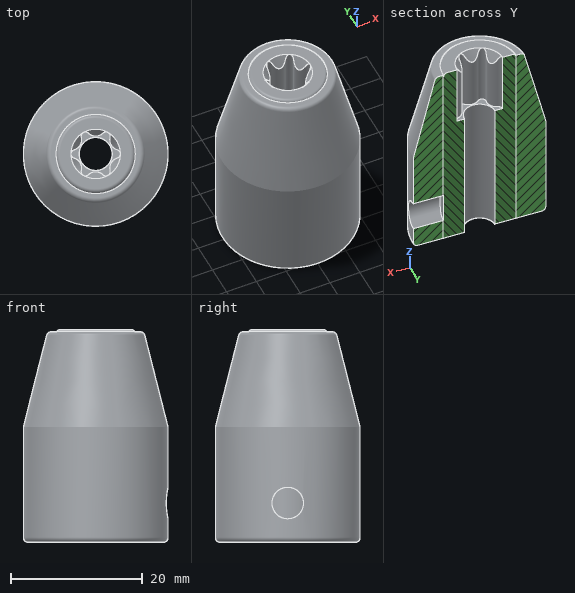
import cadquery as cq
import math

total_height = 32.3
housing_diameter = 22.0
housing_radius = housing_diameter / 2
insert_rise = 0.32
housing_height = total_height - insert_rise
straight_height = 17.5
taper_top_radius = 7.33
housing_edge_round = 0.75
side_hole_radius = 2.4
side_hole_height = 5.98

insert_radius = 6.0
insert_edge_round = 0.6
bore_radius = 2.5

lobe_count = 6
socket_outer_radius = 3.75
socket_inner_radius = 2.7
lobe_tip_round = 0.65
socket_depth = 10.0
countersink_half_angle = math.radians(30)


def polar(radius, angle):
    return (radius * math.cos(angle), radius * math.sin(angle))


def make_housing():
    """Tapered sleeve with a round hole through its +X wall."""
    body = (
        cq.Workplane("XZ")
        .moveTo(0, 0)
        .lineTo(housing_radius, 0)
        .lineTo(housing_radius, straight_height)
        .lineTo(taper_top_radius, housing_height)
        .lineTo(0, housing_height)
        .close()
        .revolve(360, (0, 0, 0), (0, 1, 0))
        .faces(">Z or <Z")
        .edges()
        .fillet(housing_edge_round)
    )
    insert_hole = cq.Workplane("XY").circle(insert_radius).extrude(housing_height)
    side_hole = (
        cq.Workplane("YZ")
        .center(0, side_hole_height)
        .circle(side_hole_radius)
        .extrude(housing_radius)
    )
    return body.cut(insert_hole).cut(side_hole)


def make_socket():
    """Six-lobe prism with tangent tip and valley arcs, lobes starting on +X."""
    half_pitch = math.pi / lobe_count
    tip_center_radius = socket_outer_radius - lobe_tip_round
    tip_reach = tip_center_radius * math.cos(half_pitch)
    valley_round = (
        tip_center_radius**2 + socket_inner_radius**2
        - 2 * tip_reach * socket_inner_radius - lobe_tip_round**2
    ) / (2 * (lobe_tip_round + tip_reach - socket_inner_radius))
    valley_center = polar(socket_inner_radius + valley_round, half_pitch)

    tip_share = lobe_tip_round / (lobe_tip_round + valley_round)
    tangent_x = tip_center_radius + (valley_center[0] - tip_center_radius) * tip_share
    tangent_y = valley_center[1] * tip_share
    tangent_radius = math.hypot(tangent_x, tangent_y)
    tangent_angle = math.atan2(tangent_y, tangent_x)

    outline = cq.Workplane("XY", origin=(0, 0, total_height - socket_depth))
    outline = outline.moveTo(*polar(tangent_radius, -tangent_angle))
    for lobe in range(lobe_count):
        lobe_angle = 2 * half_pitch * lobe
        valley_angle = lobe_angle + half_pitch
        next_lobe_angle = valley_angle + half_pitch
        outline = outline.threePointArc(
            polar(socket_outer_radius, lobe_angle),
            polar(tangent_radius, lobe_angle + tangent_angle),
        )
        outline = outline.threePointArc(
            polar(socket_inner_radius, valley_angle),
            polar(tangent_radius, next_lobe_angle - tangent_angle),
        )
    return outline.close().extrude(socket_depth)


def make_countersink():
    """Cone that leads into the socket from the top face."""
    depth = socket_outer_radius / math.tan(countersink_half_angle)
    return cq.Workplane(
        cq.Solid.makeCone(0, socket_outer_radius, depth, pnt=cq.Vector(0, 0, total_height - depth))
    )


def make_insert():
    """Round core with a drive socket above a through bore."""
    core = (
        cq.Workplane("XY")
        .circle(insert_radius)
        .extrude(total_height)
        .faces(">Z")
        .edges()
        .fillet(insert_edge_round)
    )
    bore = cq.Workplane("XY").circle(bore_radius).extrude(total_height)
    return core.cut(bore).cut(make_socket()).cut(make_countersink())


housing = make_housing()
insert = make_insert()
result = cq.Compound.makeCompound([housing.val(), insert.val()])